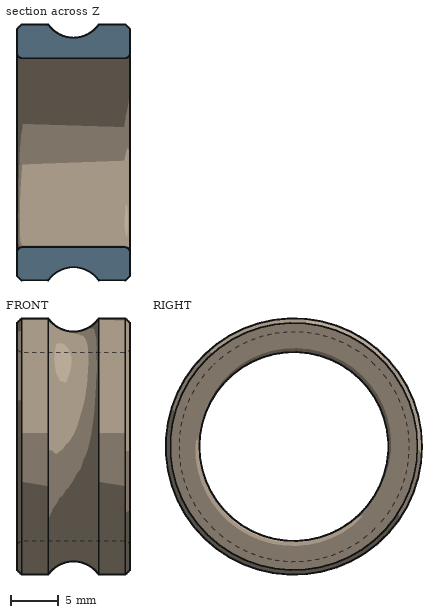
import cadquery as cq
import math

width = 12.0
outer_diameter = 27.2
bore_diameter = 20.0
outer_chamfer = 0.5
bore_fillet = 0.6
groove_depth = 1.4
groove_radius = 3.25

outer_radius = outer_diameter / 2
groove_floor_radius = outer_radius - groove_depth
groove_centre_radius = groove_floor_radius + groove_radius
groove_half_width = math.sqrt(groove_radius**2 - (groove_radius - groove_depth) ** 2)


def make_ring():
    """Plain ring with chamfered outer edges and rounded bore edges."""
    blank = cq.Workplane("YZ").circle(outer_radius).extrude(width / 2, both=True)
    blank = blank.faces("<X or >X").edges().chamfer(outer_chamfer)
    bored = blank.faces(">X").workplane().hole(bore_diameter)
    bore_edges = cq.selectors.RadiusNthSelector(0)
    return bored.faces("<X or >X").edges(bore_edges).fillet(bore_fillet)


def make_groove_cutter():
    """Body of revolution about X whose arc forms the concave groove."""
    return (
        cq.Workplane("XY")
        .moveTo(-groove_half_width, outer_radius)
        .threePointArc((0, groove_floor_radius), (groove_half_width, outer_radius))
        .lineTo(groove_half_width, groove_centre_radius)
        .lineTo(-groove_half_width, groove_centre_radius)
        .close()
        .revolve(360, (0, 0, 0), (1, 0, 0))
    )


result = make_ring().cut(make_groove_cutter())